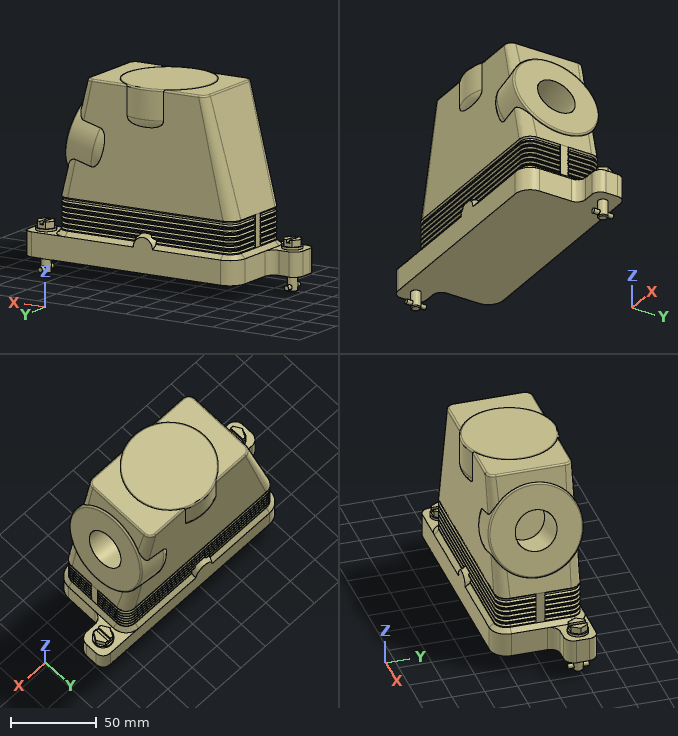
import cadquery as cq
import math

overall_length = 165.0
flange_length = 127.7
flange_width = 58.0
flange_height = 15.2
flange_corner = 10.4
ear_width = 19.8
ear_corner = 6.0

shoulder = 2.8
band_length = flange_length - 2 * shoulder
band_width = flange_width - 2 * shoulder
band_corner = flange_corner - shoulder
band_bottom = flange_height + shoulder
band_top = 38.0

rib_count = 6
rib_depth = 1.0
rib_land = 0.7
rib_slope = 1.0
rib_first_z = band_bottom + rib_land / 2
rib_last_z = 34.5
rib_pitch = (rib_last_z - rib_first_z) / (rib_count - 1)
strip_width = 5.5

end_lean = 15.0
top_z = 111.4
top_boss_rise = 0.2
hood_top = top_z - top_boss_rise
hood_top_corner = 5.0
hood_edge = 1.2
lean_tangent = math.tan(math.radians(end_lean))
hood_top_length = band_length - 2 * (hood_top - band_top) * lean_tangent

boss_radius = flange_width / 2
boss_depth = 25.0
boss_fillet = 6.3
boss_rim = 1.0
side_boss_z = 75.7
side_boss_rise = 1.3
cable_hole_radius = 12.7

bump_radius = 6.6
bump_growth = 0.5

screw_x = 72.8
screw_y = 19.1
shank_radius = 3.1
shank_bottom = -10.9
shank_chamfer = 0.7
collar_radius = 6.3
collar_height = 1.5
head_height = 4.1
head_flats = 10.0
slot_width = 2.1
slot_depth = 1.8
cross_pin_radius = 1.57
cross_pin_length = 13.2
cross_pin_z = -8.0


def rounded_block(length, width, corner, bottom, height):
    """Upright block with rounded vertical edges, centred on the Z axis."""
    block = cq.Workplane("XY").workplane(offset=bottom).rect(length, width).extrude(height)
    return block.edges("|Z").fillet(corner)


def rounded_taper(bottom, bottom_size, top, top_size):
    """Loft between two rounded rectangles, each size being (length, width, corner)."""
    section = cq.Sketch().rect(*bottom_size[:2]).vertices().fillet(bottom_size[2])
    end_section = cq.Sketch().rect(*top_size[:2]).vertices().fillet(top_size[2])
    end_section = end_section.moved(cq.Location(cq.Vector(0, 0, top - bottom)))
    return cq.Workplane("XY").workplane(offset=bottom).placeSketch(section, end_section).loft(ruled=True)


def left_ear():
    """Screw ear at the -X, -Y corner, blended into the end of the flange."""
    inner_x = -flange_length / 2
    front_y = -flange_width / 2
    back_y = front_y + ear_width
    ear = (
        cq.Workplane("XY")
        .moveTo(inner_x + flange_corner, front_y)
        .lineTo(-overall_length / 2 + ear_corner, front_y)
        .radiusArc((-overall_length / 2, front_y + ear_corner), ear_corner)
        .lineTo(-overall_length / 2, back_y - ear_corner)
        .radiusArc((-overall_length / 2 + ear_corner, back_y), ear_corner)
        .lineTo(inner_x - ear_corner, back_y)
        .radiusArc((inner_x, back_y + ear_corner), -ear_corner)
        .lineTo(inner_x + flange_corner, back_y + ear_corner)
        .close()
        .extrude(flange_height)
    )
    return ear


def flange():
    base = rounded_block(flange_length, flange_width, flange_corner, 0, flange_height)
    for turn in (0, 180):
        base = base.union(left_ear().rotate((0, 0, 0), (0, 0, 1), turn))
    slope = rounded_taper(
        flange_height,
        (flange_length, flange_width, flange_corner),
        band_bottom,
        (band_length, band_width, band_corner),
    )
    return base.union(slope)


def ribbed_band():
    band = rounded_block(
        band_length - 2 * rib_depth,
        band_width - 2 * rib_depth,
        band_corner - rib_depth,
        flange_height,
        band_top - flange_height,
    )
    rib_size = (band_length, band_width, band_corner)
    root_size = tuple(size - shrink * rib_depth for size, shrink in zip(rib_size, (2, 2, 1)))
    for index in range(rib_count):
        land_bottom = rib_first_z + index * rib_pitch - rib_land / 2
        land_top = land_bottom + rib_land
        band = band.union(rounded_block(*rib_size, land_bottom, rib_land))
        band = band.union(rounded_taper(land_top, rib_size, land_top + rib_slope, root_size))
        if index > 0:
            band = band.union(rounded_taper(land_bottom - rib_slope, root_size, land_bottom, rib_size))
    band = band.union(rounded_taper(band_top - rib_slope, root_size, band_top, rib_size))
    strip = cq.Workplane("XY").workplane(offset=flange_height).rect(band_length, strip_width)
    return band.union(strip.extrude(band_top - flange_height))


def tapered_hood():
    hood = rounded_taper(
        band_top,
        (band_length, band_width, band_corner),
        hood_top,
        (hood_top_length, band_width, hood_top_corner),
    )
    return hood.faces(">Z").edges().fillet(hood_edge)


def round_boss():
    """Upright boss whose outer face is centred on the origin and whose inner end is rounded."""
    boss = cq.Workplane("XY").circle(boss_radius).extrude(-boss_depth)
    return boss.faces("<Z").edges().fillet(boss_fillet).faces(">Z").edges().fillet(boss_rim)


def top_boss():
    return round_boss().translate((0, 0, top_z))


def onto_leaning_end(shape):
    """Turn a shape made at the origin so that it faces out of the leaning +X end."""
    end_x = band_length / 2 - (side_boss_z - band_top) * lean_tangent
    face_x = end_x + side_boss_rise / math.cos(math.radians(end_lean))
    tilted = shape.rotate((0, 0, 0), (0, 1, 0), 90 - end_lean)
    return tilted.translate((face_x, 0, side_boss_z))


def side_bump():
    """Half-sunk cone that widens from the -Y face towards the middle of the flange."""
    depth = shoulder + rib_depth
    cone = cq.Solid.makeCone(
        bump_radius,
        bump_radius + bump_growth * depth,
        depth,
        cq.Vector(0, -flange_width / 2, flange_height),
        cq.Vector(0, 1, 0),
    )
    above_flange = cq.Workplane("XY").box(overall_length, flange_width, top_z, centered=(True, True, False))
    return cq.Workplane(cone).intersect(above_flange)


def locking_screw():
    """Screw on the Z axis with a slotted hexagon head, a collar and a cross pin."""
    shank = cq.Workplane("XY").workplane(offset=shank_bottom).circle(shank_radius)
    shank = shank.extrude(flange_height - shank_bottom).faces("<Z").edges().chamfer(shank_chamfer)
    collar = cq.Workplane("XY").workplane(offset=flange_height).circle(collar_radius).extrude(collar_height)
    head_bottom = flange_height + collar_height
    head_corners = head_flats / math.cos(math.pi / 6)
    head = cq.Workplane("XY").workplane(offset=head_bottom).polygon(6, head_corners).extrude(head_height)
    slot_floor = head_bottom + head_height - slot_depth
    slot = cq.Workplane("XY").workplane(offset=slot_floor).rect(slot_width, head_corners).extrude(slot_depth)
    cross_pin = (
        cq.Workplane("XZ")
        .center(0, cross_pin_z)
        .circle(cross_pin_radius)
        .extrude(cross_pin_length / 2, both=True)
    )
    return shank.union(collar).union(head.cut(slot)).union(cross_pin)


screw_places = [(-screw_x, -screw_y), (screw_x, screw_y)]


def housing_body():
    body = flange().union(ribbed_band()).union(tapered_hood())
    body = body.union(top_boss()).union(onto_leaning_end(round_boss()))
    for turn in (0, 180):
        body = body.union(side_bump().rotate((0, 0, 0), (0, 0, 1), turn))
    cable_hole = cq.Workplane("XY").circle(cable_hole_radius).extrude(-boss_depth)
    body = body.cut(onto_leaning_end(cable_hole))
    screw_holes = cq.Workplane("XY").pushPoints(screw_places).circle(shank_radius).extrude(flange_height)
    return body.cut(screw_holes)


housing = housing_body()
screws = [locking_screw().translate((x, y, 0)).val() for x, y in screw_places]

result = cq.Compound.makeCompound([housing.val(), *screws])